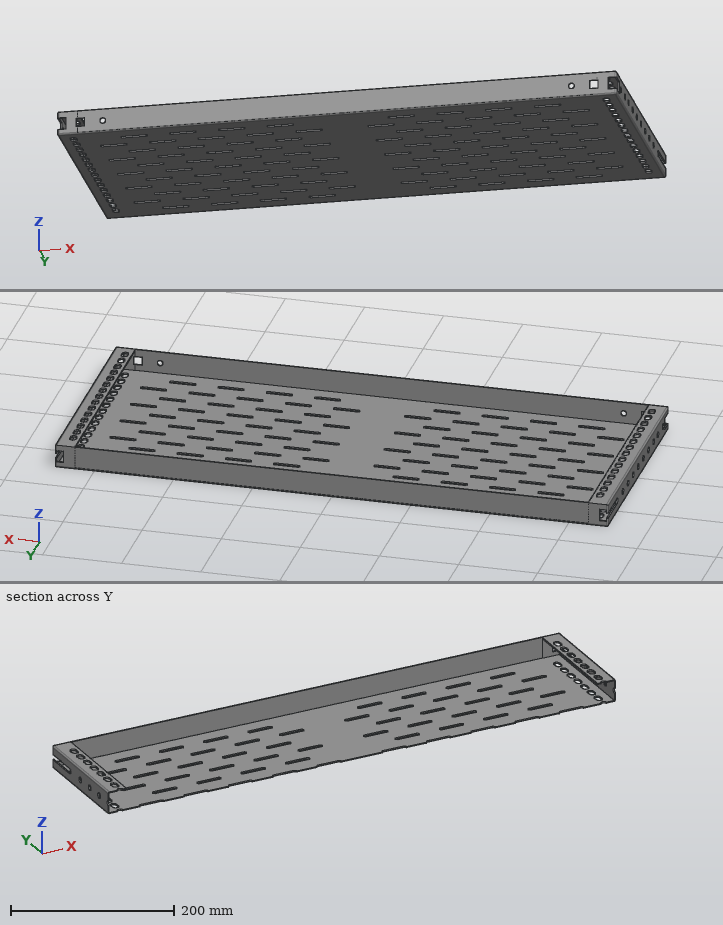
import cadquery as cq

LENGTH = 699.0
WIDTH = 296.5
HEIGHT = 30.0
SHEET = 2.0
LONG_WALL = 1.5
BEND_RADIUS = SHEET
CUT_DEPTH = 2 * SHEET
MID_HEIGHT = HEIGHT / 2

FLANGE_WIDTH = 25.0

EDGE_SLOT_COUNT = 15
EDGE_SLOT_PITCH = 18.0
EDGE_SLOT_LENGTH = 13.0
EDGE_SLOT_WIDTH = 8.0
EDGE_SLOT_INSET = 16.5
EDGE_SLOT_CENTER_Y = -3.7

FLOOR_SLOT_LENGTH = 33.0
FLOOR_SLOT_WIDTH = 5.1
FLOOR_SLOT_PITCH = 61.0
FLOOR_SLOT_INSET = 60.5
FLOOR_ROW_COUNT = 11
FLOOR_ROW_PITCH = 25.0
LONG_ROW_SLOTS = 5

SIDE_HOLE_DIAMETER = 7.0
SIDE_HOLE_PITCH = 25.0
MAIN_HOLE_COUNT = 7
MAIN_HOLE_START_Y = -76.0
END_HOLE_COUNT = 2
END_HOLE_START_Y = -122.0
SIDE_SLOT_LENGTH = 49.0
SIDE_SLOT_HEIGHT = SIDE_HOLE_DIAMETER

WINDOW_HEIGHT = 15.0
WINDOW_ALONG_X = 10.7
WINDOW_ALONG_Y = 18.3

SQUARE_HOLE_SIZE = 10.5
SQUARE_HOLE_INSET = 28.5
ROUND_HOLE_DIAMETER = 7.0
ROUND_HOLE_INSET = 56.5


def centered_box(size_x, size_y, size_z, x, y, z):
    return cq.Workplane("XY").box(size_x, size_y, size_z).translate((x, y, z))


def make_tray():
    """Folded shell: floor, four walls and a flange on top of each short side."""
    block = centered_box(LENGTH, WIDTH, HEIGHT, 0, 0, MID_HEIGHT)
    block = block.edges("|Z or <Z or (|Y and >Z)").fillet(BEND_RADIUS)
    inner_width = WIDTH - 2 * LONG_WALL
    cavity = centered_box(LENGTH - 2 * SHEET, inner_width, HEIGHT - 2 * SHEET, 0, 0, MID_HEIGHT)
    mouth = centered_box(LENGTH - 2 * FLANGE_WIDTH, inner_width, HEIGHT, 0, 0, HEIGHT)
    return block.cut(cavity).cut(mouth)


def corner_pad(side_x, side_y):
    """Pad below a flange end that brings the long wall up to the full sheet thickness."""
    length = FLANGE_WIDTH - SHEET
    thickness = SHEET - LONG_WALL
    x = LENGTH / 2 - SHEET - length / 2
    y = WIDTH / 2 - LONG_WALL - thickness / 2
    return centered_box(length, thickness, HEIGHT - 2 * SHEET, side_x * x, side_y * y, MID_HEIGHT)


def edge_slot_cutter():
    x = LENGTH / 2 - EDGE_SLOT_INSET
    span = (EDGE_SLOT_COUNT - 1) * EDGE_SLOT_PITCH
    points = [
        (side * x, EDGE_SLOT_CENTER_Y - span / 2 + i * EDGE_SLOT_PITCH)
        for side in (-1, 1)
        for i in range(EDGE_SLOT_COUNT)
    ]
    slots = cq.Workplane("XY").pushPoints(points).slot2D(EDGE_SLOT_LENGTH, EDGE_SLOT_WIDTH, 90)
    return slots.extrude(HEIGHT)


def floor_slot_cutter():
    points = []
    for row in range(FLOOR_ROW_COUNT):
        y = (row - (FLOOR_ROW_COUNT - 1) / 2) * FLOOR_ROW_PITCH
        shifted = 1 - row % 2
        for i in range(LONG_ROW_SLOTS - shifted):
            x = LENGTH / 2 - FLOOR_SLOT_INSET - (i + shifted / 2) * FLOOR_SLOT_PITCH
            points += [(-x, y), (x, y)]
    slots = cq.Workplane("XY").pushPoints(points).slot2D(FLOOR_SLOT_LENGTH, FLOOR_SLOT_WIDTH)
    return slots.extrude(MID_HEIGHT)


def side_hole_cutter():
    rows = ((MAIN_HOLE_START_Y, MAIN_HOLE_COUNT), (END_HOLE_START_Y, END_HOLE_COUNT))
    points = [
        (start + i * SIDE_HOLE_PITCH, MID_HEIGHT) for start, count in rows for i in range(count)
    ]
    holes = cq.Workplane("YZ").pushPoints(points).circle(SIDE_HOLE_DIAMETER / 2)
    return holes.extrude(LENGTH / 2, both=True)


def side_slot_cutter(side):
    """Slot with one round end, running out through the back corner of a short side."""
    straight_end = WIDTH / 2 - SIDE_SLOT_LENGTH + SIDE_SLOT_HEIGHT / 2
    low = MID_HEIGHT - SIDE_SLOT_HEIGHT / 2
    high = MID_HEIGHT + SIDE_SLOT_HEIGHT / 2
    return (
        cq.Workplane("YZ", origin=(side * LENGTH / 2, 0, 0))
        .moveTo(WIDTH / 2, low)
        .lineTo(straight_end, low)
        .threePointArc((WIDTH / 2 - SIDE_SLOT_LENGTH, MID_HEIGHT), (straight_end, high))
        .lineTo(WIDTH / 2, high)
        .close()
        .extrude(SHEET, both=True)
    )


def corner_window(side):
    """Opening wrapped around a front corner, and an opening opposite it in the back wall."""
    front = centered_box(
        2 * WINDOW_ALONG_X, 2 * WINDOW_ALONG_Y, WINDOW_HEIGHT, side * LENGTH / 2, -WIDTH / 2, MID_HEIGHT
    )
    back_length = WINDOW_ALONG_X - BEND_RADIUS
    back_x = LENGTH / 2 - BEND_RADIUS - back_length / 2
    back = centered_box(
        back_length, 2 * CUT_DEPTH, WINDOW_HEIGHT, side * back_x, WIDTH / 2, MID_HEIGHT
    )
    return front.union(back)


def front_hole_cutter(side):
    """Square hole and round hole near one end of the front wall only."""
    square_x = side * (LENGTH / 2 - SQUARE_HOLE_INSET)
    square = centered_box(
        SQUARE_HOLE_SIZE, 2 * CUT_DEPTH, SQUARE_HOLE_SIZE, square_x, -WIDTH / 2, MID_HEIGHT
    )
    round_x = side * (LENGTH / 2 - ROUND_HOLE_INSET)
    hole = (
        cq.Workplane("XZ", origin=(round_x, -WIDTH / 2, MID_HEIGHT))
        .circle(ROUND_HOLE_DIAMETER / 2)
        .extrude(CUT_DEPTH, both=True)
    )
    return square.union(hole)


result = make_tray()
for end in (-1, 1):
    for wall in (-1, 1):
        result = result.union(corner_pad(end, wall))
result = result.cut(edge_slot_cutter()).cut(floor_slot_cutter()).cut(side_hole_cutter())
for end in (-1, 1):
    result = result.cut(side_slot_cutter(end)).cut(corner_window(end)).cut(front_hole_cutter(end))